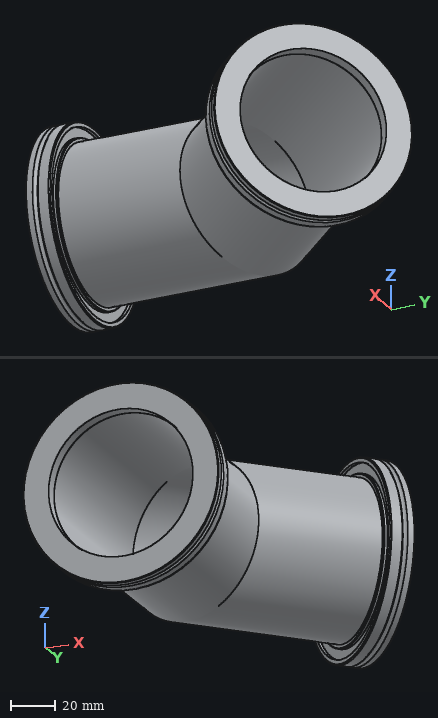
import cadquery as cq
import math

bend_angle = 45.0
leg_length = 88.5
pipe_diameter = 76.1
pipe_radius = pipe_diameter / 2
bore_radius = 35.0

flange_diameter = 95.0
flange_radius = flange_diameter / 2
flange_thickness = 12.0
socket_floor = 6.6
rim_chamfer = 0.4
back_chamfer = 0.5

rim_groove_start = 3.5
rim_groove_floor = 5.2
rim_groove_end = 6.3
rim_groove_depth = 1.7
rim_groove_mid = 4.0
rim_groove_mid_depth = 1.1

recess_outer_radius = 45.0
hub_radius = 40.0
recess_depth = 1.7
hub_chamfer = 0.4

turn = math.radians(bend_angle)
exit_direction = cq.Vector(math.sin(turn), math.cos(turn), 0)
entry_direction = cq.Vector(0, -1, 0)
mitre_center = cq.Vector(0, 0, 0)
leg_directions = (entry_direction, exit_direction)


def make_leg(direction, radius, length):
    """Solid leg cut square at its end and along the mitre plane."""
    overrun = 2 * flange_radius
    start = mitre_center - direction * overrun
    leg = cq.Workplane(cq.Solid.makeCylinder(radius, overrun + length, start, direction))
    other = exit_direction if direction is entry_direction else entry_direction
    keep_side = cq.Plane(mitre_center, xDir=(0, 0, 1), normal=direction - other)
    half_space = cq.Workplane(keep_side).rect(4 * leg_length, 4 * leg_length).extrude(2 * leg_length)
    return leg.intersect(half_space)


def make_elbow_rod(radius, length):
    entry_leg, exit_leg = (make_leg(direction, radius, length) for direction in leg_directions)
    return entry_leg.union(exit_leg)


def make_pipe():
    length = leg_length - socket_floor
    return make_elbow_rod(pipe_radius, length).cut(make_elbow_rod(bore_radius, length))


def make_flange(direction):
    """Revolved flange; local z runs from its outer face toward the mitre."""
    back = flange_thickness
    profile = (
        cq.Workplane("XZ")
        .moveTo(bore_radius, 0)
        .lineTo(flange_radius - rim_chamfer, 0)
        .lineTo(flange_radius, rim_chamfer)
        .lineTo(flange_radius, rim_groove_start)
        .threePointArc(
            (flange_radius - rim_groove_mid_depth, rim_groove_mid),
            (flange_radius - rim_groove_depth, rim_groove_floor),
        )
        .lineTo(flange_radius, rim_groove_end)
        .lineTo(flange_radius, back - back_chamfer)
        .lineTo(flange_radius - back_chamfer, back)
        .lineTo(recess_outer_radius, back)
        .lineTo(recess_outer_radius, back - recess_depth)
        .lineTo(hub_radius, back - recess_depth)
        .lineTo(hub_radius, back - hub_chamfer)
        .lineTo(hub_radius - hub_chamfer, back)
        .lineTo(pipe_radius, back)
        .lineTo(pipe_radius, socket_floor)
        .lineTo(bore_radius, socket_floor)
        .close()
    )
    flange = profile.revolve(360, (0, 0, 0), (0, 1, 0))
    outer_face = cq.Plane(mitre_center + direction * leg_length, xDir=(0, 0, 1), normal=-direction)
    return flange.val().moved(cq.Location(outer_face))


pipe = make_pipe()
flanges = [make_flange(direction) for direction in leg_directions]

result = cq.Compound.makeCompound([pipe.solids().val(), *flanges])